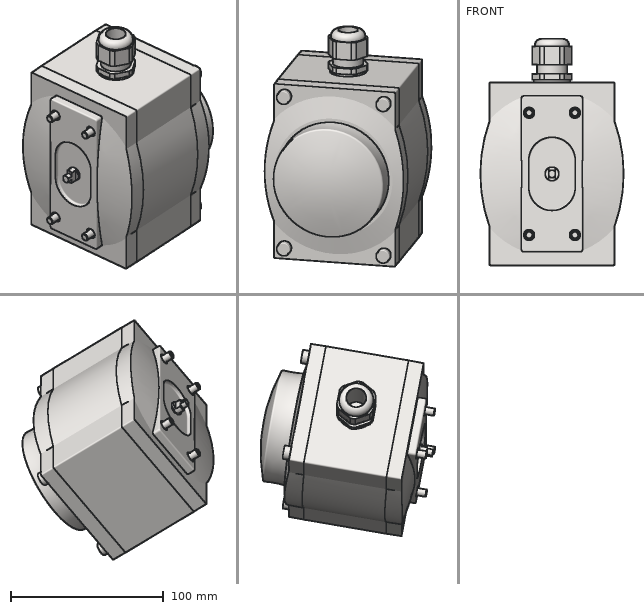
import cadquery as cq
import math


box_width = 82.0
box_height = 120.0
bulge_width = 94.0
bulge_half_height = 34.5
corner_radius = 1.0

housing_depth = 55.0
cap_depth = 10.0
cap_draft = 1.0
housing_face = housing_depth / 2
cap_face = housing_face + cap_depth

dome_base_radius = 54.0
front_sphere_radius = 250.0
front_flat_radius = 18.0
rear_sphere_radius = 215.0
rear_flat_radius = 79.6 / 2

plate_width = 40.0
plate_height = 102.0
plate_face = 43.2
plate_corner_radius = 1.5
plate_edge_radius = 1.0
recess_width = 30.5
recess_height = 48.0
recess_depth = 2.7
recess_floor_radius = 1.0
recess_floor = plate_face - recess_depth

pin_diameter = 5.0
pin_hole_diameter = 7.0
pin_hole_depth = 5.0
pin_end = 49.5
pin_chamfer = 0.4
pin_pitch_x = 30.0
pin_pitch_z = 80.0

shaft_diameter = 9.0
shaft_disc_thickness = 1.4
stem_diameter = 5.0
tang_thickness = 4.2
tang_end = 47.0
tip_diameter = 5.0
tip_end = 50.8

knob_base_radius = 37.3
knob_rim_radius = 37.0
knob_waist_radius = 36.8
knob_rim_face = 54.3
knob_dome_start = 55.8
knob_dome_radius = 36.0
knob_top = 61.9

screw_head_diameter = 9.0
screw_head_height = 4.7
screw_head_radius = 0.5
screw_pitch_x = 67.0
screw_pitch_z = 104.0

collar_diameter = 24.0
collar_height = 1.5
hex_across_flats = 24.0
hex_corner_diameter = 26.0
lock_hex_height = 4.0
neck_diameter = 20.0
neck_height = 6.0
nut_height = 12.0
crown_diameter = 22.5
crown_height = 5.0
crown_flat_diameter = 14.0
cable_bore_diameter = 13.0


def cylinder_y(diameter, start, end, x=0.0, z=0.0):
    """Cylinder along Y from start to end."""
    direction = cq.Vector(0, math.copysign(1, end - start), 0)
    return cq.Workplane(
        cq.Solid.makeCylinder(diameter / 2, abs(end - start), cq.Vector(x, start, z), direction)
    )


def grid(pitch_x, pitch_z):
    """The four corners of a centred rectangle."""
    return [(sx * pitch_x / 2, sz * pitch_z / 2) for sx in (-1, 1) for sz in (-1, 1)]


def box_block(side, start, depth, draft=0.0):
    """Box outline with bulged sides and rounded corners, extruded away from Y = start."""
    half_width = box_width / 2
    half_height = box_height / 2
    r = corner_radius
    plane = cq.Plane(origin=(0, side * start, 0), xDir=(1, 0, 0), normal=(0, side, 0))
    return (
        cq.Workplane(plane)
        .moveTo(-half_width + r, half_height)
        .lineTo(half_width - r, half_height)
        .radiusArc((half_width, half_height - r), r)
        .lineTo(half_width, bulge_half_height)
        .threePointArc((bulge_width / 2, 0), (half_width, -bulge_half_height))
        .lineTo(half_width, -half_height + r)
        .radiusArc((half_width - r, -half_height), r)
        .lineTo(-half_width + r, -half_height)
        .radiusArc((-half_width, -half_height + r), r)
        .lineTo(-half_width, -bulge_half_height)
        .threePointArc((-bulge_width / 2, 0), (-half_width, bulge_half_height))
        .lineTo(-half_width, half_height - r)
        .radiusArc((-half_width + r, half_height), r)
        .close()
        .extrude(depth, taper=draft)
    )


def dome_rise(sphere_radius, radius):
    """Height of the dome above the cap face at a given radius."""
    return math.sqrt(sphere_radius**2 - radius**2) - math.sqrt(sphere_radius**2 - dome_base_radius**2)


def drafted_cap(side, sphere_radius, flat_radius, dome_height):
    """Drafted cap whose flat face carries a shallow dome, trimmed in Z and to the box outline."""
    top_rise = dome_rise(sphere_radius, flat_radius)
    middle_radius = (dome_base_radius + flat_radius) / 2
    top = cap_face + top_rise
    middle = cap_face + dome_rise(sphere_radius, middle_radius)
    dome = (
        cq.Workplane("XY")
        .moveTo(0, side * housing_face)
        .lineTo(dome_base_radius, side * housing_face)
        .lineTo(dome_base_radius, side * cap_face)
        .threePointArc((middle_radius, side * middle), (flat_radius, side * top))
        .lineTo(0, side * top)
        .close()
        .revolve(360, (0, 0, 0), (0, 1, 0))
        .intersect(cq.Workplane("XY").box(2 * box_width, 4 * cap_face, dome_height))
    )
    slab = cq.Workplane("XY").box(2 * box_width, cap_depth, 2 * box_height)
    slab = slab.translate((0, side * (housing_face + cap_depth / 2), 0))
    return box_block(side, housing_face, cap_depth + top_rise + 1, cap_draft).intersect(slab.union(dome))


def truncated_hexagon(z, height):
    """Hexagon with flats facing Y and its corners turned to a cylinder."""
    plane = cq.Workplane("XY", origin=(0, 0, z))
    hexagon = plane.polygon(6, hex_across_flats / math.cos(math.pi / 6)).extrude(height)
    return hexagon.intersect(plane.circle(hex_corner_diameter / 2).extrude(height))


def make_crown(z):
    """Crown of the nut: an arc runs from the base circle into the flat top without a corner."""
    base_radius = crown_diameter / 2
    flat_radius = crown_flat_diameter / 2
    arc_radius = ((base_radius - flat_radius) ** 2 + crown_height**2) / (2 * crown_height)
    diagonal = arc_radius * math.sin(math.pi / 4)
    return (
        cq.Workplane("XZ", origin=(0, 0, z))
        .lineTo(base_radius, 0)
        .threePointArc(
            (flat_radius + diagonal, crown_height - arc_radius + diagonal),
            (flat_radius, crown_height),
        )
        .lineTo(0, crown_height)
        .close()
        .revolve(360, (0, 0, 0), (0, 1, 0))
    )


def make_gland(z):
    """Cable gland standing at height z: collar, lock hexagon, neck, nut and rounded crown."""
    lock_z = z + collar_height
    neck_z = lock_z + lock_hex_height
    nut_z = neck_z + neck_height
    crown_z = nut_z + nut_height
    total_height = crown_z + crown_height - z
    gland = cq.Workplane("XY", origin=(0, 0, z)).circle(collar_diameter / 2).extrude(collar_height)
    gland = gland.union(truncated_hexagon(lock_z, lock_hex_height))
    neck = cq.Workplane("XY", origin=(0, 0, neck_z)).circle(neck_diameter / 2).extrude(neck_height)
    gland = gland.union(neck)
    gland = gland.union(truncated_hexagon(nut_z, nut_height)).union(make_crown(crown_z))
    bore = cq.Workplane("XY", origin=(0, 0, z)).circle(cable_bore_diameter / 2).extrude(total_height)
    return gland.cut(bore)


def make_housing():
    """Straight middle of the box with the cable gland on its top face."""
    block = box_block(1, -housing_face, housing_depth)
    return block.union(make_gland(box_height / 2))


def make_plate():
    """Mounting plate with rounded corners and front edges, rooted at the housing face."""
    depth = plate_face - housing_face
    return (
        cq.Workplane("XY")
        .box(plate_width, depth, plate_height)
        .translate((0, -housing_face - depth / 2, 0))
        .edges("|Y")
        .fillet(plate_corner_radius)
        .faces("<Y")
        .edges()
        .fillet(plate_edge_radius)
    )


def make_recess():
    """Cutter for the recess with rounded ends and a rounded floor edge."""
    recess = (
        cq.Workplane("XZ", origin=(0, -recess_floor, 0))
        .slot2D(recess_height, recess_width, 90)
        .extrude(2 * recess_depth)
    )
    return recess.faces(">Y").edges().fillet(recess_floor_radius)


def make_shaft_end():
    """Stem on the recess floor carrying a disc flush with the plate, a flat tang and a flatted round tip."""
    disc = cylinder_y(shaft_diameter, -(plate_face - shaft_disc_thickness), -plate_face)
    stem = cylinder_y(stem_diameter, -recess_floor, -plate_face)
    tang = cylinder_y(shaft_diameter, -plate_face, -tang_end)
    tip = cylinder_y(tip_diameter, -plate_face, -tip_end)
    flats = cq.Workplane("XY").box(tang_thickness, 2 * tip_end, shaft_diameter)
    return stem.union(disc).union(tang.union(tip).intersect(flats))


def make_base():
    """Front cap with mounting plate, recess, shaft end and four pins standing in clearance holes."""
    base = drafted_cap(-1, front_sphere_radius, front_flat_radius, plate_height)
    base = base.union(make_plate()).cut(make_recess()).union(make_shaft_end())
    hole_floor = plate_face - pin_hole_depth
    for x, z in grid(pin_pitch_x, pin_pitch_z):
        base = base.cut(cylinder_y(pin_hole_diameter, -hole_floor, -plate_face, x, z))
        pin = cylinder_y(pin_diameter, -hole_floor, -pin_end, x, z)
        base = base.union(pin.faces("<Y").chamfer(pin_chamfer))
    return base


def make_knob():
    """Round knob with a hollowed side, a rounded rim and a domed end."""
    bottom = cap_face + dome_rise(rear_sphere_radius, rear_flat_radius)
    rim_bulge = knob_rim_radius - knob_dome_radius
    rim_middle_radius = knob_dome_radius + rim_bulge * math.sin(math.pi / 4)
    rim_middle = knob_rim_face + (knob_dome_start - knob_rim_face) * math.sin(math.pi / 4)
    rise = knob_top - knob_dome_start
    sphere = (knob_dome_radius**2 + rise**2) / (2 * rise)
    half_radius = knob_dome_radius / 2
    dome_middle = knob_top - sphere + math.sqrt(sphere**2 - half_radius**2)
    return (
        cq.Workplane("XY")
        .moveTo(0, cap_face)
        .lineTo(knob_base_radius, cap_face)
        .lineTo(knob_base_radius, bottom)
        .threePointArc((knob_waist_radius, (bottom + knob_rim_face) / 2), (knob_rim_radius, knob_rim_face))
        .threePointArc((rim_middle_radius, rim_middle), (knob_dome_radius, knob_dome_start))
        .threePointArc((half_radius, dome_middle), (0, knob_top))
        .close()
        .revolve(360, (0, 0, 0), (0, 1, 0))
    )


def make_cover():
    """Rear cap with the indicator knob and four screw heads."""
    cover = drafted_cap(1, rear_sphere_radius, rear_flat_radius, 2 * dome_base_radius).union(make_knob())
    for x, z in grid(screw_pitch_x, screw_pitch_z):
        head = cylinder_y(screw_head_diameter, housing_face, cap_face + screw_head_height, x, z)
        cover = cover.union(head.faces(">Y").edges().fillet(screw_head_radius))
    return cover


housing = make_housing()
base = make_base()
cover = make_cover()
result = cq.Compound.makeCompound([housing.val(), base.val(), cover.val()])